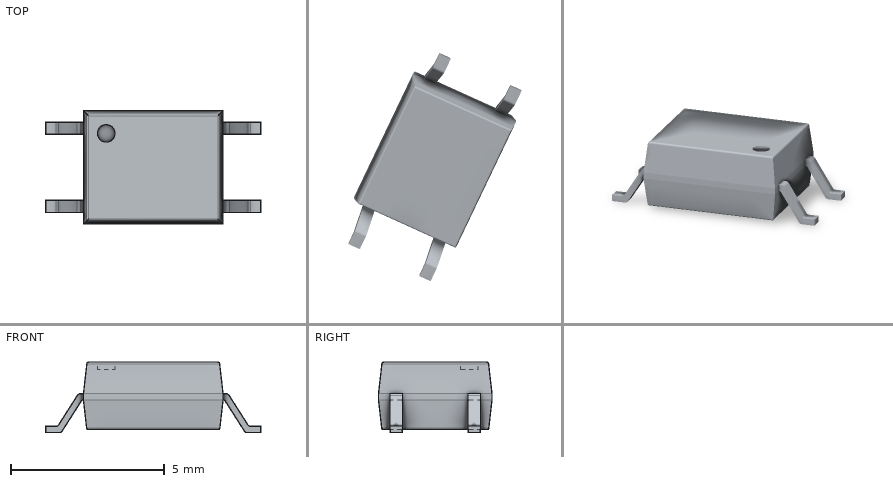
import cadquery as cq
import math

body_length = 4.55
body_width = 3.7
body_bottom = 0.1
body_top = 2.3
draft_angle = 6.5
top_fillet = 0.065
bottom_fillet = 0.055

dimple_diameter = 0.57
dimple_depth = 0.25
dimple_inset = 0.745

lead_span = 7.0
lead_width = 0.4
lead_thickness = 0.21
lead_pitch = 2.54
shoulder_length = 0.16
shoulder_top = 1.27
leg_angle = 57.5
shoulder_outer_radius = 0.13
shoulder_inner_radius = 0.07
foot_radius = 0.1

band_top = shoulder_top
band_bottom = shoulder_top - lead_thickness


def tapered_half(start_z, height, fillet_radius):
    """Block that narrows from the band; a negative height builds it downwards."""
    half = (
        cq.Workplane("XY", origin=(0, 0, start_z))
        .rect(body_length, body_width)
        .extrude(height, taper=draft_angle)
    )
    end_face = ">Z" if height > 0 else "<Z"
    return half.faces(end_face).edges().fillet(fillet_radius)


def make_housing():
    band = (
        cq.Workplane("XY", origin=(0, 0, band_bottom))
        .rect(body_length, body_width)
        .extrude(band_top - band_bottom)
    )
    upper_half = tapered_half(band_top, body_top - band_top, top_fillet)
    lower_half = tapered_half(band_bottom, body_bottom - band_bottom, bottom_fillet)
    dimple_x = -body_length / 2 + dimple_inset
    dimple_y = body_width / 2 - dimple_inset
    dimple = (
        cq.Workplane("XY", origin=(dimple_x, dimple_y, body_top - dimple_depth))
        .circle(dimple_diameter / 2)
        .extrude(dimple_depth)
    )
    return band.union(upper_half).union(lower_half).cut(dimple)


def round_bend(lead, x, y, z, radius):
    """Fillet the lead's crosswise edge whose midpoint is at the given place."""
    edge = cq.selectors.NearestToPointSelector((x, y, z))
    return lead.edges("|Y").edges(edge).fillet(radius)


def make_lead(side, center_y):
    """Lead that starts flush on the band; side is -1 for the -X wall and 1 for the +X wall."""
    wall_x = body_length / 2
    tip_x = lead_span / 2
    leg_run = (shoulder_top - lead_thickness) / math.tan(math.radians(leg_angle))
    corner_shift = lead_thickness * math.tan(math.radians(leg_angle / 2))

    upper_bend_x = wall_x + shoulder_length
    lower_bend_x = upper_bend_x + leg_run
    profile = [
        (side * wall_x, shoulder_top),
        (side * upper_bend_x, shoulder_top),
        (side * lower_bend_x, lead_thickness),
        (side * tip_x, lead_thickness),
        (side * tip_x, 0),
        (side * (lower_bend_x - corner_shift), 0),
        (side * (upper_bend_x - corner_shift), band_bottom),
        (side * wall_x, band_bottom),
    ]
    lead = (
        cq.Workplane("XZ", origin=(0, center_y, 0))
        .polyline(profile)
        .close()
        .extrude(lead_width / 2, both=True)
    )
    lead = round_bend(lead, side * upper_bend_x, center_y, shoulder_top, shoulder_outer_radius)
    inner_bend_x = upper_bend_x - corner_shift
    lead = round_bend(lead, side * inner_bend_x, center_y, band_bottom, shoulder_inner_radius)
    lead = round_bend(lead, side * lower_bend_x, center_y, lead_thickness, foot_radius)
    return round_bend(lead, side * (lower_bend_x - corner_shift), center_y, 0, foot_radius)


housing = make_housing()
leads = []
for side in (-1, 1):
    for center_y in (-lead_pitch / 2, lead_pitch / 2):
        leads.append(make_lead(side, center_y))

result = cq.Compound.makeCompound([housing.val(), *[lead.val() for lead in leads]])